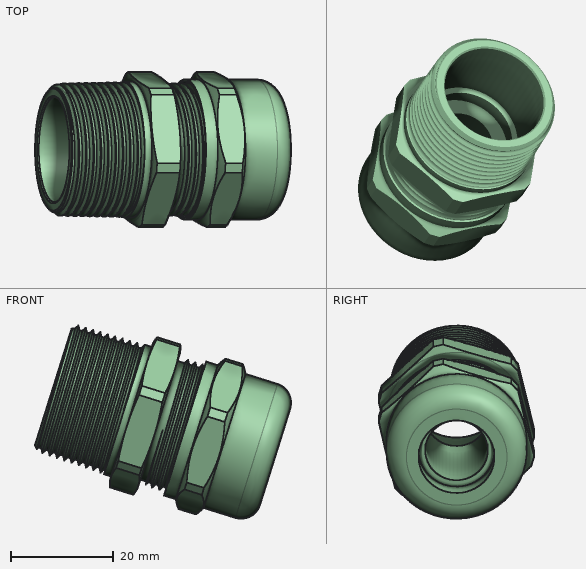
import cadquery as cq
import math


AXIS_DROP = math.radians(17.45)

COLLAR_START = 14.6
HEX_START = 16.05
HEX_END = 21.7
NECK_END = 22.97
BODY_END = 35.0
LEDGE = 16.0

NUT_START = 27.05
NUT_HEX_START = 29.45
NUT_HEX_END = 35.15
OVERALL_LENGTH = 45.53
SLEEVE_START = 19.0
SLEEVE_END = 41.3

HEX_SIDES = 6
CORNER_STEP = 360.0 / HEX_SIDES
CORNER_RATIO = 1 / math.cos(math.pi / HEX_SIDES)
HEX_TURN = -16.75
ACROSS_FLATS = 28.0
ACROSS_CORNER_FLATS = 31.2
BODY_HEX_CHAMFER = 15.0
NUT_HEX_CHAMFER = 30.0

PITCH = 1.5
FLANK_ANGLE = math.radians(30.0)
TOOTH_ROOT_OVERLAP = 0.1
THREAD_ENVELOPE_RADIUS = 16.0
STRAIGHT_HELIX = 360.0

ENTRY_CORE_DIAMETER = 24.28
ENTRY_TAPER = 0.0175
ENTRY_TOOTH_HEIGHT = 0.82
ENTRY_THREAD_START = -0.02 - PITCH
ENTRY_TURNS = 11
ENTRY_FACE_DIAMETER = 23.9

CAP_CORE_DIAMETER = 24.38
CAP_TOOTH_HEIGHT = 0.81
CAP_THREAD_START = 22.47
CAP_TURNS = 9

COLLAR_DIAMETER = 26.6
BORE_DIAMETER = 20.5
BORE_MOUTH_DIAMETER = 21.07
SLEEVE_DIAMETER = 18.19
CABLE_HOLE_DIAMETER = 12.26
NUT_DIAMETER = 27.5
NUT_DOME_RADIUS = 3.9
NUT_BORE_DIAMETER = 24.97
NUT_MOUTH_DIAMETER = 26.7
NUT_MOUTH_DEPTH = 2.0
NUT_OPENING_DIAMETER = 14.86


def cylinder(diameter, start, end):
    return cq.Workplane("XY").workplane(offset=start).circle(diameter / 2).extrude(end - start)


def turned(points):
    """Solid of revolution about Z from (radius, station) points that start and end on the axis."""
    return cq.Workplane("XZ").polyline(points).close().revolve(360, (0, 0), (0, 1))


def hex_prism(across_flats, start, end, turn):
    prism = cq.Workplane("XY").workplane(offset=start).polygon(HEX_SIDES, across_flats * CORNER_RATIO)
    return prism.extrude(end - start).rotate((0, 0, 0), (0, 0, 1), turn)


def hexagon(start, end, chamfer_angle, face_diameter):
    """Hexagon with flattened corners, both end faces coned off outside face_diameter."""
    face_radius = face_diameter / 2
    outer_radius = ACROSS_FLATS * CORNER_RATIO / 2
    chamfer = (outer_radius - face_radius) * math.tan(math.radians(chamfer_angle))
    blank = turned([
        (0, start),
        (face_radius, start),
        (outer_radius, start + chamfer),
        (outer_radius, end - chamfer),
        (face_radius, end),
        (0, end),
    ])
    flats = hex_prism(ACROSS_FLATS, start, end, HEX_TURN)
    corner_flats = hex_prism(ACROSS_CORNER_FLATS, start, end, HEX_TURN + CORNER_STEP / 2)
    return flats.intersect(corner_flats).intersect(blank)


def thread_tooth(core_radius, taper, tooth_height, start, turns):
    """Sharp right-hand tooth wound on a core of core_radius at start, growing by taper per mm."""
    full_height = tooth_height + TOOTH_ROOT_OVERLAP
    half_base = full_height * math.tan(FLANK_ANGLE)
    root_radius = core_radius - TOOTH_ROOT_OVERLAP

    def helix(radius, station):
        slope = math.degrees(math.atan(taper)) if taper else STRAIGHT_HELIX
        return cq.Wire.makeHelix(PITCH, turns * PITCH, radius, cq.Vector(0, 0, station), angle=slope)

    edges = [
        helix(root_radius, start - half_base),
        helix(root_radius + full_height, start),
        helix(root_radius, start + half_base),
    ]
    sides = [cq.Face.makeRuledSurface(edges[i - 1], edges[i]) for i in range(len(edges))]
    ends = [
        cq.Face.makeFromWires(cq.Wire.makePolygon([edge.positionAt(place) for edge in edges], close=True))
        for place in (0, 1)
    ]
    return cq.Workplane(cq.Solid.makeSolid(cq.Shell.makeShell(sides + ends)))


def entry_thread():
    """Slightly tapered thread with a 45 degree lead-in at the entry face."""
    core_radius = ENTRY_CORE_DIAMETER / 2
    face_radius = ENTRY_FACE_DIAMETER / 2
    end_radius = core_radius + ENTRY_TAPER * HEX_START
    lead_in = THREAD_ENVELOPE_RADIUS - face_radius
    envelope = turned([
        (0, 0),
        (face_radius, 0),
        (THREAD_ENVELOPE_RADIUS, lead_in),
        (THREAD_ENVELOPE_RADIUS, HEX_START),
        (0, HEX_START),
    ])
    core = turned([(0, 0), (core_radius, 0), (end_radius, HEX_START), (0, HEX_START)])
    tooth = thread_tooth(
        core_radius + ENTRY_TAPER * ENTRY_THREAD_START,
        ENTRY_TAPER,
        ENTRY_TOOTH_HEIGHT,
        ENTRY_THREAD_START,
        ENTRY_TURNS,
    )
    return core.union(tooth).intersect(envelope)


def cap_thread():
    """Neck and straight thread that carry the cap nut."""
    tooth = thread_tooth(CAP_CORE_DIAMETER / 2, 0, CAP_TOOTH_HEIGHT, CAP_THREAD_START, CAP_TURNS)
    threaded_length = cylinder(2 * THREAD_ENVELOPE_RADIUS, NECK_END, BODY_END)
    return cylinder(CAP_CORE_DIAMETER, HEX_END, BODY_END).union(tooth.intersect(threaded_length))


def make_body():
    bore_radius = BORE_DIAMETER / 2
    mouth_radius = BORE_MOUTH_DIAMETER / 2
    sleeve_radius = SLEEVE_DIAMETER / 2
    cavity = turned([
        (0, 0),
        (mouth_radius, 0),
        (bore_radius, mouth_radius - bore_radius),
        (bore_radius, LEDGE),
        (sleeve_radius, LEDGE),
        (sleeve_radius, BODY_END),
        (0, BODY_END),
    ])
    return (
        entry_thread()
        .union(cylinder(COLLAR_DIAMETER, COLLAR_START, HEX_START))
        .union(hexagon(HEX_START, HEX_END, BODY_HEX_CHAMFER, ACROSS_FLATS))
        .union(cap_thread())
        .cut(cavity)
    )


def make_cap_nut(body):
    """Domed nut whose internal thread is the imprint of the body's thread."""
    dome = cylinder(NUT_DIAMETER, NUT_START, OVERALL_LENGTH).faces(">Z").edges().fillet(NUT_DOME_RADIUS)
    return (
        dome.union(hexagon(NUT_HEX_START, NUT_HEX_END, NUT_HEX_CHAMFER, NUT_DIAMETER))
        .cut(cylinder(NUT_MOUTH_DIAMETER, NUT_START, NUT_START + NUT_MOUTH_DEPTH))
        .cut(cylinder(NUT_BORE_DIAMETER, NUT_START, BODY_END))
        .cut(cylinder(SLEEVE_DIAMETER, BODY_END, SLEEVE_END))
        .cut(cylinder(NUT_OPENING_DIAMETER, SLEEVE_END, OVERALL_LENGTH))
        .cut(body)
    )


def make_sleeve():
    hole = cylinder(CABLE_HOLE_DIAMETER, SLEEVE_START, SLEEVE_END)
    return cylinder(SLEEVE_DIAMETER, SLEEVE_START, SLEEVE_END).cut(hole)


gland_frame = cq.Plane(
    origin=(0, 0, 0),
    xDir=(0, -1, 0),
    normal=(math.cos(AXIS_DROP), 0, -math.sin(AXIS_DROP)),
)
placement = cq.Location(gland_frame)

body = make_body()
cap_nut = make_cap_nut(body)
sleeve = make_sleeve()

solids = [solid for part in (body, cap_nut, sleeve) for solid in part.solids().vals()]
result = cq.Compound.makeCompound([solid.moved(placement) for solid in solids])